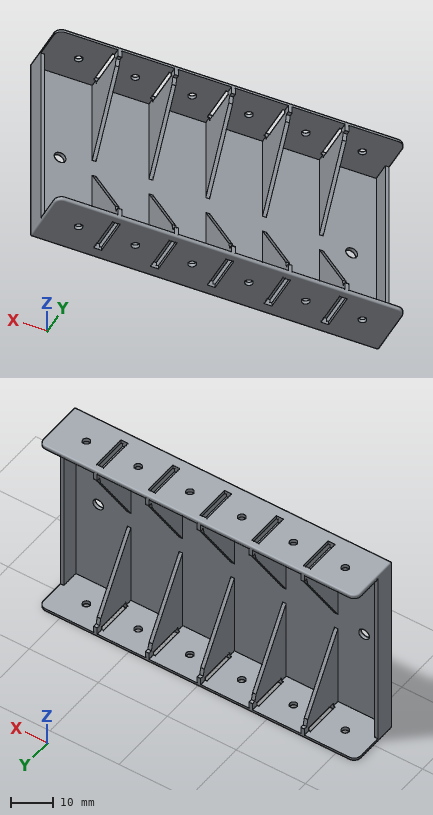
import cadquery as cq

length = 92.0
depth = 15.0
height = 55.0

plate_thickness = 1.0
flange_thickness = 1.0
side_wall_thickness = 1.0
side_wall_depth = 6.0
flange_corner_radius = 2.0
edge_fillet = 0.5

mount_hole_diameter = 3.0
mount_hole_spacing = 77.0

label_length = 70.1
label_height = 2.0
label_margin = 1.5
label_depth = 0.5

pitch = 15.0
hole_count = 6
row_offset = -0.5
flange_hole_diameter = 2.0
flange_hole_from_rear = 7.0

slot_width = 2.0
slot_length = 10.1
slot_from_rear = 1.9
slot_depth = 1.8

rib_thickness = 1.0
rib_lip_height = 3.0
rib_lip_width = 1.0
rib_shoulder_inset = 1.5
rib_shoulder_height = 5.0
rib_height_at_side_wall = 17.1

half_length = length / 2
half_height = height / 2
cavity_height = height - 2 * flange_thickness


def row_positions(count):
    """X positions of evenly pitched features, centred on the shifted row."""
    return [row_offset + pitch * (i - (count - 1) / 2) for i in range(count)]


def make_shell():
    """Front plate with short side walls and deep top and bottom flanges."""
    shell = cq.Workplane("XY").box(length, depth, height, centered=(True, False, True))
    shell = shell.edges("|Z and >Y").fillet(flange_corner_radius)
    shell = shell.faces("<Y or <Z or >Z").edges().fillet(edge_fillet)
    cavity = cq.Workplane("XY").box(
        length - 2 * side_wall_thickness, depth, cavity_height, centered=(True, False, True)
    ).translate((0, plate_thickness, 0))
    side_opening = cq.Workplane("XY").box(
        length, depth, cavity_height, centered=(True, False, True)
    ).translate((0, side_wall_depth, 0))
    return shell.cut(cavity).cut(side_opening)


def make_upper_rib(x):
    """Gusset under the top flange: rear lip, steep shoulder, then a slope down to the plate."""
    shoulder_y = depth - rib_shoulder_inset
    shoulder_z = half_height - rib_shoulder_height
    wall_z = half_height - rib_height_at_side_wall
    slope = (shoulder_z - wall_z) / (shoulder_y - side_wall_depth)
    plate_z = wall_z - slope * (side_wall_depth - plate_thickness)
    lip_z = half_height - rib_lip_height
    flange_z = half_height - flange_thickness
    return (
        cq.Workplane("YZ", origin=(x - rib_thickness / 2, 0, 0))
        .moveTo(plate_thickness, flange_z)
        .lineTo(depth, flange_z)
        .lineTo(depth, lip_z)
        .lineTo(depth - rib_lip_width, lip_z)
        .lineTo(shoulder_y, shoulder_z)
        .lineTo(plate_thickness, plate_z)
        .close()
        .extrude(rib_thickness)
    )


def make_upper_slot(x):
    """Tie slot that pierces the top flange and notches the rib beneath it."""
    return cq.Workplane("XY").box(slot_width, slot_length, slot_depth).translate(
        (x, depth - slot_from_rear - slot_length / 2, half_height - slot_depth / 2)
    )


rib_positions = row_positions(hole_count - 1)
result = make_shell()

for x in rib_positions:
    rib = make_upper_rib(x)
    result = result.union(rib).union(rib.mirror("XY"))

for x in rib_positions:
    slot = make_upper_slot(x)
    result = result.cut(slot).cut(slot.mirror("XY"))

flange_holes = (
    cq.Workplane("XY", origin=(0, depth - flange_hole_from_rear, -half_height))
    .pushPoints([(x, 0) for x in row_positions(hole_count)])
    .circle(flange_hole_diameter / 2)
    .extrude(height)
)
result = result.cut(flange_holes)

mount_holes = (
    cq.Workplane("XZ")
    .pushPoints([(-mount_hole_spacing / 2, 0), (mount_hole_spacing / 2, 0)])
    .circle(mount_hole_diameter / 2)
    .extrude(-plate_thickness)
)
result = result.cut(mount_holes)

label_recess = cq.Workplane("XY").box(label_length, label_depth, label_height).translate(
    (
        half_length - label_margin - label_length / 2,
        label_depth / 2,
        half_height - label_margin - label_height / 2,
    )
)
result = result.cut(label_recess)